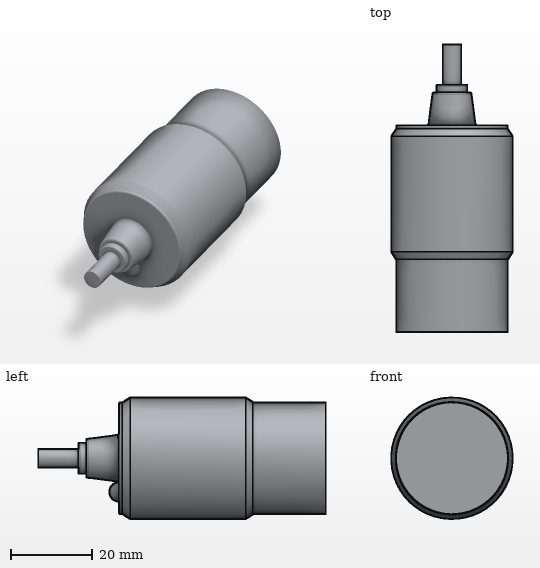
import cadquery as cq

total_length = 70.9

nose_length = 18.0
front_bevel_length = 1.8
cable_length = 9.9
ring_length = 1.9
gland_length = 8.1
rim_length = 0.85
rear_bevel_length = 1.9

nose_diameter = 27.5
front_bevel_diameter = 27.8
body_diameter = 30.0
cap_diameter = 27.6
gland_base_diameter = 11.7
gland_tip_diameter = 9.6
ring_diameter = 7.65
cable_diameter = 4.6

cap_round = 0.4
gland_round = 0.4
ring_round = 0.3
gland_root_fillet = 0.35

dome_radius = 2.4
dome_offset = 8.3

ring_rear = total_length - cable_length
gland_rear = ring_rear - ring_length
cap_face = gland_rear - gland_length
rim_front = cap_face - rim_length
body_rear = rim_front - rear_bevel_length
body_front = nose_length + front_bevel_length


def turned(profile):
    """Turn a (radius, y) outline about the Y axis."""
    return cq.Workplane("XY").polyline(profile).close().revolve(360, (0, 0, 0), (0, 1, 0))


def cylinder(diameter, start, end):
    """Round bar along Y between two stations."""
    radius = diameter / 2
    return turned([(0, start), (radius, start), (radius, end), (0, end)])


def make_housing():
    """Nose, bevelled body and rounded rear cap."""
    housing = turned([
        (0, 0),
        (nose_diameter / 2, 0),
        (nose_diameter / 2, nose_length),
        (front_bevel_diameter / 2, nose_length),
        (body_diameter / 2, body_front),
        (body_diameter / 2, body_rear),
        (cap_diameter / 2, rim_front),
        (cap_diameter / 2, cap_face),
        (0, cap_face),
    ])
    return housing.faces(">Y").edges().fillet(cap_round)


def make_gland():
    """Tapered cable gland with a rounded small end."""
    gland = turned([
        (0, cap_face),
        (gland_base_diameter / 2, cap_face),
        (gland_tip_diameter / 2, gland_rear),
        (0, gland_rear),
    ])
    return gland.faces(">Y").edges().fillet(gland_round)


def make_ring():
    """Collar between gland and cable, rounded at both ends."""
    ring = cylinder(ring_diameter, gland_rear, ring_rear)
    return ring.faces("<Y or >Y").edges().fillet(ring_round)


def make_dome():
    """Hemisphere standing out of the cap below the gland."""
    return cq.Workplane("XY").sphere(dome_radius).translate((0, cap_face, -dome_offset))


selection_margin = 0.1
gland_root = cq.selectors.BoxSelector(
    (-gland_base_diameter, cap_face - selection_margin, -gland_base_diameter),
    (gland_base_diameter, cap_face + selection_margin, gland_base_diameter),
    boundingbox=True,
)
result = make_housing().union(make_gland()).edges(gland_root).fillet(gland_root_fillet)
result = result.union(make_ring()).union(cylinder(cable_diameter, ring_rear, total_length))
result = result.union(make_dome())
result = result.translate((0, -total_length / 2, 0))